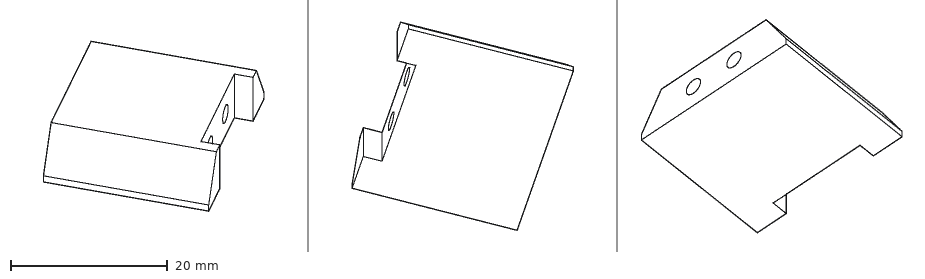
import cadquery as cq
import math

length = 22.0
width = 25.0
height = 7.0

edge_height = 1.0
flank_angle = 60.0
flank_inset = (height - edge_height) / math.tan(math.radians(flank_angle))

notch_depth = 2.5
notch_width = 15.0

hole_spacing = 7.0
hole_diameter = 2.45


def dovetail_block():
    half_width = width / 2
    top_half_width = half_width - flank_inset
    return (
        cq.Workplane("YZ")
        .moveTo(-half_width, 0)
        .lineTo(half_width, 0)
        .lineTo(half_width, edge_height)
        .lineTo(top_half_width, height)
        .lineTo(-top_half_width, height)
        .lineTo(-half_width, edge_height)
        .close()
        .extrude(length)
    )


def end_notch():
    return (
        cq.Workplane("XY")
        .box(notch_depth, notch_width, height, centered=(False, True, False))
        .translate((length - notch_depth, 0, 0))
    )


def lengthwise_holes():
    half_spacing = hole_spacing / 2
    return (
        cq.Workplane("YZ")
        .pushPoints([(-half_spacing, height / 2), (half_spacing, height / 2)])
        .circle(hole_diameter / 2)
        .extrude(length)
    )


result = dovetail_block().cut(end_notch()).cut(lengthwise_holes())